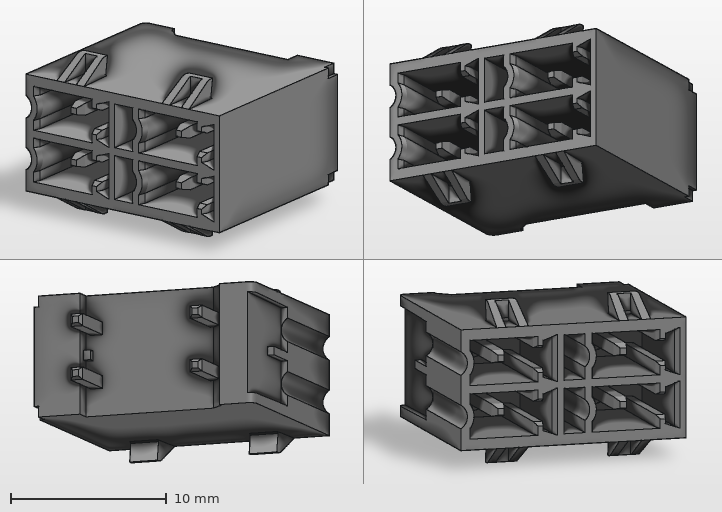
import cadquery as cq
import math


BODY_WIDTH = 15.2
BODY_DEPTH = 13.25
BODY_HEIGHT = 7.9
TOTAL_DEPTH = 15.9
TOTAL_HEIGHT = 10.6
HALF_HEIGHT = BODY_HEIGHT / 2
BACK_CORNER_RADIUS = 0.5

COLUMN_PITCH = 8.25
ROW_PITCH = 3.5
COLUMN_OFFSETS = (0, COLUMN_PITCH)
ROW_HEIGHTS = (-ROW_PITCH / 2, ROW_PITCH / 2)

GROOVE_RADIUS = 0.89
GROOVE_DEPTH = 0.45
GROOVE_CENTER_X = GROOVE_DEPTH - GROOVE_RADIUS
GROOVE_LENGTH = 7.35

CAVITY_DEPTH = GROOVE_LENGTH
CAVITY_HALF_HEIGHT = 1.48
LEAD_IN_DEPTH = 0.5

MOUTH_LEFT = 0.6
MOUTH_RIGHT = 6.52
MOUTH_BULGE_RADIUS = 1.34
MOUTH_CORNER_HALF_HEIGHT = 1.55
MOUTH_HOOK_LEFT = 5.2
MOUTH_HOOK_RIGHT = 5.55
MOUTH_HOOK_TIP = 0.87
MOUTH_HOOK_ROOT = 1.2

THROAT_LEFT = 0.78
THROAT_RIGHT = 6.31
THROAT_BULGE_RADIUS = 1.46
THROAT_HOOK_LEFT = 5.05
THROAT_HOOK_RIGHT = 5.66
THROAT_HOOK_TIP = 0.67
THROAT_HOOK_ROOT = 1.24

POCKET_LEFT = 6.96
POCKET_RIGHT = 8.38

PIN_X = 3.04
PIN_SIZE = 0.81
PIN_FRONT = 1.03
PIN_CHAMFER = 0.19
PIN_FRONT_TAPER = 0.72
COLLAR_RADIUS = 1.0
COLLAR_HEIGHT = 0.19

LATCH_X = 3.5
LATCH_HEIGHT = (TOTAL_HEIGHT - BODY_HEIGHT) / 2
LATCH_FRONT_WIDTH = 2.13
LATCH_BACK_WIDTH = 1.91
LATCH_SHOULDER_Y = 2.2
LATCH_CREST_Y = 2.43
LATCH_CREST_DROP = 0.06
LATCH_FOOT_Y = 2.59
LATCH_FOOT_FLARE = 0.11
LATCH_BACK_Y = 2.8
LATCH_SLOT_WIDTH = 0.9
LATCH_SLOT_DEPTH = 2.35
LATCH_SLOT_FOOT = 0.17
LATCH_ROOT = 0.16

OPENING_LEFT = 2.4
OPENING_RIGHT = 12.04
OPENING_FLOOR_Y = 12.16
OPENING_STEP = 0.3
OPENING_SLOPE_END = 3.25
RIB_WIDTH = 0.5
RIB_LENGTH = 0.48
RIB_HEIGHT = 0.64

RECESS_DEPTH = GROOVE_DEPTH
RECESS_BACK_HALF_HEIGHT = 3.29
RECESS_FRONT_HALF_HEIGHT = 3.21
KEY_HEIGHT = 0.55
KEY_END_Y = 9.75
TAB_WIDTH = 0.3
TAB_LENGTH = 1.03
TAB_HALF_HEIGHT = 3.25


def box(x_range, y_range, z_range):
    """Block between pairs of X, Y and Z limits."""
    size = [high - low for low, high in (x_range, y_range, z_range)]
    corner = (x_range[0], y_range[0], z_range[0])
    return cq.Workplane("XY").box(*size, centered=False).translate(corner)


def front_plane(y):
    """Workplane at depth y whose local axes are X and Z; positive extrusion runs toward -Y."""
    return cq.Workplane("XZ", origin=(0, y, 0))


def make_housing():
    """Plain block with the back-left vertical edge rounded."""
    block = box((0, BODY_WIDTH), (0, BODY_DEPTH), (-HALF_HEIGHT, HALF_HEIGHT))
    return block.edges("|Z").edges(">Y").edges("<X").fillet(BACK_CORNER_RADIUS)


def side_recess():
    """Cutter for the recess in the left side, leaving the central key standing."""
    recess = (
        cq.Workplane("YZ")
        .polyline([
            (GROOVE_LENGTH, -RECESS_FRONT_HALF_HEIGHT),
            (BODY_DEPTH, -RECESS_BACK_HALF_HEIGHT),
            (BODY_DEPTH, RECESS_BACK_HALF_HEIGHT),
            (GROOVE_LENGTH, RECESS_FRONT_HALF_HEIGHT),
        ])
        .close()
        .extrude(RECESS_DEPTH)
    )
    key = box((0, RECESS_DEPTH), (GROOVE_LENGTH, KEY_END_Y), (-KEY_HEIGHT / 2, KEY_HEIGHT / 2))
    return recess.cut(key)


def groove(row_z):
    """Cutter for a round coding groove along the left side, flat where it meets that side."""
    cylinder = (
        front_plane(0)
        .center(GROOVE_CENTER_X, row_z)
        .circle(GROOVE_RADIUS)
        .extrude(-GROOVE_LENGTH)
    )
    inside = box(
        (0, GROOVE_DEPTH),
        (0, GROOVE_LENGTH),
        (row_z - GROOVE_RADIUS, row_z + GROOVE_RADIUS),
    )
    return cylinder.intersect(inside)


def pocket(row_z):
    """Cutter for the pocket between columns, with a groove bulging out of its right wall."""
    cutter = box(
        (POCKET_LEFT, POCKET_RIGHT),
        (0, CAVITY_DEPTH),
        (row_z - CAVITY_HALF_HEIGHT, row_z + CAVITY_HALF_HEIGHT),
    )
    return cutter.union(groove(row_z).translate((COLUMN_PITCH, 0, 0)))


def draw_cavity(plane, left, bulge_radius, hook, right, corner_half_height):
    """Cavity outline, symmetric about the row, with a curved left wall and two hooks.

    hook holds the X of its left and right sides, the half gap between the hook tips
    and the half height at which the right side of the hook stops.
    """
    hook_left, hook_right, tip, root = hook
    half = CAVITY_HALF_HEIGHT
    bulge_half = math.sqrt(bulge_radius**2 - (left - GROOVE_CENTER_X)**2)
    return (
        plane.moveTo(left, bulge_half)
        .lineTo(left, half)
        .lineTo(hook_left, half)
        .lineTo(hook_left, tip)
        .lineTo(hook_right, tip)
        .lineTo(hook_right, root)
        .lineTo(right, corner_half_height)
        .lineTo(right, -corner_half_height)
        .lineTo(hook_right, -root)
        .lineTo(hook_right, -tip)
        .lineTo(hook_left, -tip)
        .lineTo(hook_left, -half)
        .lineTo(left, -half)
        .lineTo(left, -bulge_half)
        .threePointArc((GROOVE_CENTER_X + bulge_radius, 0), (left, bulge_half))
        .close()
    )


def draw_mouth(plane):
    """Wide cavity outline on the front face."""
    hook = (MOUTH_HOOK_LEFT, MOUTH_HOOK_RIGHT, MOUTH_HOOK_TIP, MOUTH_HOOK_ROOT)
    return draw_cavity(plane, MOUTH_LEFT, MOUTH_BULGE_RADIUS, hook, MOUTH_RIGHT, MOUTH_CORNER_HALF_HEIGHT)


def draw_throat(plane):
    """Narrower cavity outline behind the lead-in."""
    hook = (THROAT_HOOK_LEFT, THROAT_HOOK_RIGHT, THROAT_HOOK_TIP, THROAT_HOOK_ROOT)
    return draw_cavity(plane, THROAT_LEFT, THROAT_BULGE_RADIUS, hook, THROAT_RIGHT, CAVITY_HALF_HEIGHT)


def make_cavity():
    """Cutter for one plug cavity: a tapered lead-in, then a straight throat."""
    mouth = draw_mouth(front_plane(0)).wires().val()
    throat_start = draw_throat(front_plane(LEAD_IN_DEPTH)).wires().val()
    lead_in = cq.Workplane(cq.Solid.makeLoft([mouth, throat_start], True))
    throat = draw_throat(front_plane(LEAD_IN_DEPTH)).extrude(LEAD_IN_DEPTH - CAVITY_DEPTH)
    return lead_in.union(throat)


def make_pin():
    """Square pin with a tapered front tip, chamfered back and collar on the cavity floor."""
    half = PIN_SIZE / 2
    shank_front = PIN_FRONT + PIN_FRONT_TAPER
    pin = box((PIN_X - half, PIN_X + half), (shank_front, TOTAL_DEPTH), (-half, half))
    pin = pin.faces(">Y").chamfer(PIN_CHAMFER)
    tip_size = PIN_SIZE - 2 * PIN_CHAMFER
    tip = (
        front_plane(shank_front)
        .center(PIN_X, 0)
        .rect(PIN_SIZE, PIN_SIZE)
        .workplane(offset=PIN_FRONT_TAPER)
        .rect(tip_size, tip_size)
        .loft(ruled=True)
    )
    collar = front_plane(CAVITY_DEPTH).center(PIN_X, 0).circle(COLLAR_RADIUS).extrude(COLLAR_HEIGHT)
    return pin.union(tip).union(collar)


def make_latch():
    """Upper snap latch: a ramp with an undercut back and a slot up its middle."""
    top = HALF_HEIGHT + LATCH_HEIGHT
    ramp = (
        cq.Workplane("YZ")
        .polyline([
            (0, HALF_HEIGHT - LATCH_ROOT),
            (0, HALF_HEIGHT),
            (LATCH_SHOULDER_Y, top - LATCH_CREST_DROP),
            (LATCH_CREST_Y, top),
            (LATCH_BACK_Y, top),
            (LATCH_FOOT_Y, HALF_HEIGHT + LATCH_FOOT_FLARE),
            (LATCH_FOOT_Y + LATCH_FOOT_FLARE, HALF_HEIGHT),
            (LATCH_FOOT_Y + LATCH_FOOT_FLARE, HALF_HEIGHT - LATCH_ROOT),
        ])
        .close()
        .extrude(LATCH_FRONT_WIDTH / 2, both=True)
    )
    plan = (
        cq.Workplane("XY", origin=(0, 0, HALF_HEIGHT - LATCH_ROOT))
        .moveTo(0, 0)
        .lineTo(LATCH_FRONT_WIDTH / 2, 0)
        .lineTo(LATCH_BACK_WIDTH / 2, LATCH_BACK_Y)
        .lineTo(0, LATCH_BACK_Y)
        .mirrorY()
        .extrude(LATCH_ROOT + LATCH_HEIGHT)
    )
    slot = (
        cq.Workplane("YZ")
        .polyline([
            (0, HALF_HEIGHT),
            (LATCH_SLOT_DEPTH - LATCH_SLOT_FOOT, HALF_HEIGHT),
            (LATCH_SLOT_DEPTH, HALF_HEIGHT + LATCH_SLOT_FOOT),
            (LATCH_SLOT_DEPTH, top),
            (0, top),
        ])
        .close()
        .extrude(LATCH_SLOT_WIDTH / 2, both=True)
    )
    return ramp.intersect(plan).cut(slot).translate((LATCH_X, 0, 0))


def back_opening():
    """Cutter for the opening in the solder side, leaving a small rib at mid height."""
    opening = (
        cq.Workplane("XY", origin=(0, 0, -HALF_HEIGHT))
        .polyline([
            (OPENING_LEFT, BODY_DEPTH),
            (OPENING_LEFT, BODY_DEPTH - OPENING_STEP),
            (OPENING_SLOPE_END, OPENING_FLOOR_Y),
            (OPENING_RIGHT, OPENING_FLOOR_Y),
            (OPENING_RIGHT, BODY_DEPTH),
        ])
        .close()
        .extrude(BODY_HEIGHT)
    )
    rib = box(
        (OPENING_RIGHT - RIB_WIDTH, OPENING_RIGHT),
        (OPENING_FLOOR_Y, OPENING_FLOOR_Y + RIB_LENGTH),
        (-RIB_HEIGHT / 2, RIB_HEIGHT / 2),
    )
    return opening.cut(rib)


def tab_relief():
    """Upper cutter that leaves the mating tab standing on the back-right edge."""
    return box(
        (BODY_WIDTH - TAB_WIDTH, BODY_WIDTH),
        (BODY_DEPTH - TAB_LENGTH, BODY_DEPTH),
        (TAB_HALF_HEIGHT, HALF_HEIGHT),
    )


body = make_housing().cut(side_recess()).cut(back_opening())
upper_relief = tab_relief()
body = body.cut(upper_relief).cut(upper_relief.mirror("XY"))

for row_z in ROW_HEIGHTS:
    body = body.cut(groove(row_z)).cut(pocket(row_z))

cavity = make_cavity()
pin = make_pin()
upper_latch = make_latch()
lower_latch = upper_latch.mirror("XY")
for column_x in COLUMN_OFFSETS:
    for row_z in ROW_HEIGHTS:
        place = (column_x, 0, row_z)
        body = body.cut(cavity.translate(place)).union(pin.translate(place))
    for latch in (upper_latch, lower_latch):
        body = body.union(latch.translate((column_x, 0, 0)))

result = body